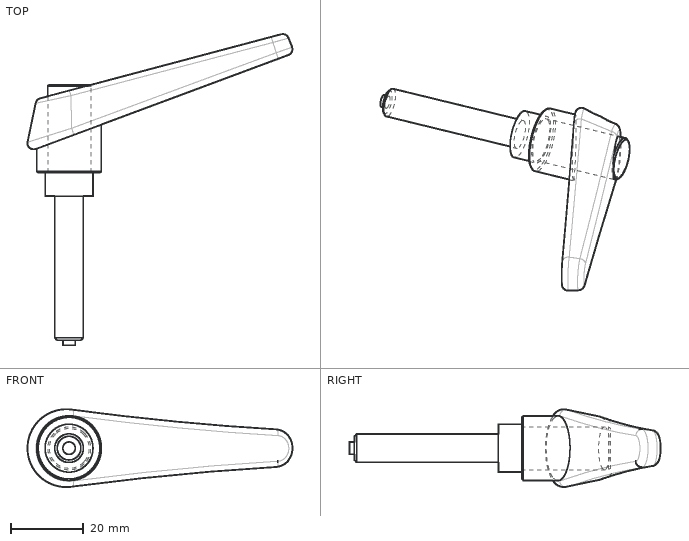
import cadquery as cq
import math


stud_radius = 4.0
stud_length = 40.0
stud_chamfer = 0.7
tip_radius = 1.7
tip_length = 1.4
shoulder_radius = 6.65
shoulder_length = 6.5
shank_radius = 5.95
shank_top = 30.9
shank_chamfer = 0.4

hub_radius = 9.0
hub_chamfer = 0.4
hub_top = 22.4
arm_under_height = 16.5
arm_under_angle = 20.4
arm_upper_height = 29.25
arm_upper_angle = 14.9
arm_fillet = 1.7

reference_height = 38.0
hub_end_radius = 6.7
hub_end_draft = 0.209
tip_end_radius = 5.4
tip_end_draft = 0.1
tip_end_center = 57.7
tip_end_lean = 0.3
blank_bottom = 8.6
blank_top = 48.3
trim_left = -25.9
trim_half_depth = 51.8


def cylinder(radius, bottom, top):
    """Cylinder on the Y axis between two heights."""
    return cq.Workplane("XZ", origin=(0, bottom, 0)).circle(radius).extrude(bottom - top)


def arm_outline(height):
    """Two arcs joined by their common tangents, at one height along Y."""
    rise = height - reference_height
    big = hub_end_radius - hub_end_draft * rise
    small = tip_end_radius - tip_end_draft * rise
    center = tip_end_center - tip_end_lean * rise
    sine = (big - small) / center
    cosine = math.sqrt(1 - sine**2)
    return (
        cq.Workplane("XZ", origin=(0, height, 0))
        .moveTo(big * sine, big * cosine)
        .lineTo(center + small * sine, small * cosine)
        .threePointArc((center + small, 0), (center + small * sine, -small * cosine))
        .lineTo(big * sine, -big * cosine)
        .threePointArc((-big, 0), (big * sine, big * cosine))
        .close()
        .val()
    )


def make_arm():
    outlines = [arm_outline(blank_bottom), arm_outline(blank_top)]
    blank = cq.Workplane(cq.Solid.makeLoft(outlines, True))
    under_slope = math.tan(math.radians(arm_under_angle))
    upper_slope = math.tan(math.radians(arm_upper_angle))
    meeting = (arm_upper_height - arm_under_height) / (under_slope - upper_slope)
    wedge = (
        cq.Workplane("XY")
        .moveTo(trim_left, arm_under_height + under_slope * trim_left)
        .lineTo(meeting, arm_under_height + under_slope * meeting)
        .lineTo(trim_left, arm_upper_height + upper_slope * trim_left)
        .close()
        .extrude(trim_half_depth, both=True)
    )
    arm = blank.intersect(wedge)
    upper_direction = cq.Vector(-upper_slope, 1, 0)
    under_direction = cq.Vector(under_slope, -1, 0)
    rims = arm.faces(cq.selectors.ParallelDirSelector(upper_direction)).edges()
    rims = rims.add(arm.faces(cq.selectors.ParallelDirSelector(under_direction)).edges())
    return rims.fillet(arm_fillet)


def make_handle():
    hub = cylinder(hub_radius, shoulder_length, hub_top).faces("<Y").chamfer(hub_chamfer)
    bore = cylinder(shank_radius, shoulder_length, shank_top)
    return make_arm().union(hub).cut(bore)


def make_insert():
    tip = cylinder(tip_radius, -stud_length - tip_length, -stud_length)
    stud = cylinder(stud_radius, -stud_length, 0).faces("<Y").chamfer(stud_chamfer)
    shoulder = cylinder(shoulder_radius, 0, shoulder_length)
    shank = cylinder(shank_radius, shoulder_length, shank_top).faces(">Y").chamfer(shank_chamfer)
    return shank.union(shoulder).union(stud).union(tip)


handle = make_handle()
insert = make_insert()
result = cq.Compound.makeCompound([handle.val(), insert.val()])